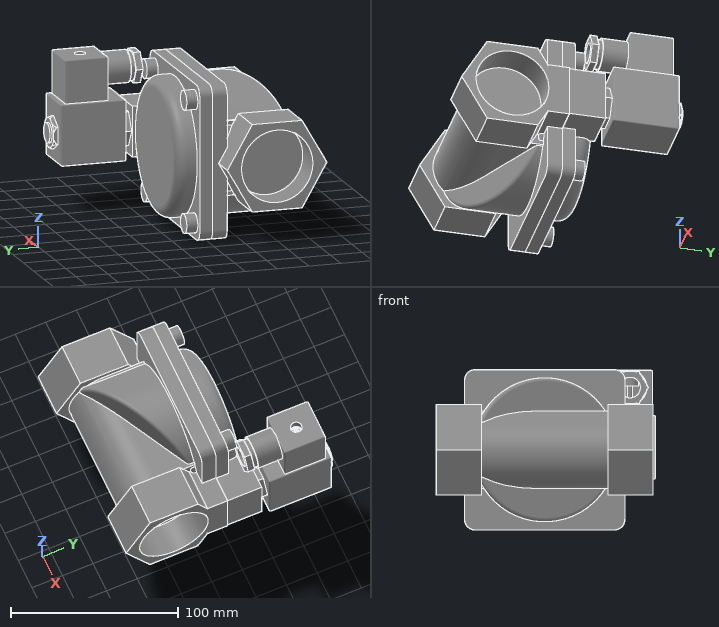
import cadquery as cq
import math


overall_length = 138.4

flange_bottom = 25.9
split_level = 35.1
flange_top = 43.2
boss_top = 50.1
dome_top = 55.8
pilot_top = 57.5

body_length = 129.8
hex_length = 27.0
hex_flats = 54.2
thread_diameter = 44.8
thread_depth = 19.4
pipe_radius = 23.1
flange_side = 96.0
flange_corner = 6.5
chamber_radius = 43.0
chamber_fillet = 2.1
chamber_slope = 27.5
chamber_floor = 3.0
chamber_depth = pipe_radius + flange_bottom
body_pad_width = 32.7
body_pad_bottom = 22.0
hex_face = body_length / 2 - hex_length

dome_radius = 43.0
dome_fillet = 6.8
boss_diameter = 12.0
boss_offset = 38.2
pilot_width = 31.5
pilot_length = 27.1

coil_x = 51.0
coil_bottom = 62.0
coil_top = 102.8
coil_width = 30.2
coil_low_z = -17.6
coil_high_z = 20.6
case_fillet = 1.0
stem_flats = 21.0
nut_flats = 18.0
nut_top = 105.7
nut_face_diameter = 16.7
nut_chamfer_angle = 30.0
cap_diameter = 12.3

plug_side = 27.0
plug_bottom = 72.6
plug_height = 27.0
plug_mid_y = plug_bottom + plug_side / 2
plug_top_z = coil_high_z + plug_height
gland_z = 37.2
gland_diameter = 20.0
gland_end = 57.0
neck_diameter = 18.0
neck_end = 54.2
gland_nut_flats = 19.0
gland_nut_end = 50.0
cable_hole_diameter = 12.3
cable_hole_end = 94.1

screw_hole_diameter = 6.8
screw_hole_depth = 5.5
screw_head_diameter = 5.5
screw_head_height = 2.1
screw_head_round = 1.7
cross_length = 3.3
cross_width = 0.8
cross_depth = 1.0
screw_post_diameter = 10.1
screw_post_low_z = 38.2
screw_shank_diameter = 3.0


def corner_diameter(flats):
    """Diameter over the corners of a hexagon with the given width across flats."""
    return flats / math.cos(math.pi / 6)


def box(x_range, y_range, z_range):
    """Box between two limits on each axis."""
    sizes = [high - low for low, high in (x_range, y_range, z_range)]
    low_corner = (x_range[0], y_range[0], z_range[0])
    return cq.Workplane(cq.Solid.makeBox(*sizes, cq.Vector(*low_corner)))


def cylinder_y(diameter, y_low, y_high, x=0.0, z=0.0):
    """Round bar parallel to Y."""
    return cq.Workplane("ZX", origin=(x, y_low, z)).circle(diameter / 2).extrude(y_high - y_low)


def cylinder_z(diameter, z_low, z_high, x, y):
    """Round bar parallel to Z."""
    return cq.Workplane("XY", origin=(x, y, z_low)).circle(diameter / 2).extrude(z_high - z_low)


def hexagon_y(flats, y_low, y_high, x, z, plane="XZ"):
    """Hexagonal bar parallel to Y, with corners on X (plane XZ) or on Z (plane ZX)."""
    length = y_high - y_low
    direction = -1 if plane == "XZ" else 1
    start = cq.Workplane(plane, origin=(x, y_low, z))
    return start.polygon(6, corner_diameter(flats)).extrude(direction * length)


def flange(y_low, y_high):
    """Square plate with rounded corners."""
    half = flange_side / 2
    return box((-half, half), (y_low, y_high), (-half, half)).edges("|Y").fillet(flange_corner)


def make_chamber():
    """Round diaphragm chamber whose underside is a sloping plane with a rounded rim."""
    chamber = cylinder_y(2 * chamber_radius, -chamber_depth, flange_bottom)
    reach = 2 * chamber_radius
    rise = reach * math.tan(math.radians(chamber_slope))
    below_slope = (
        cq.Workplane("XY", origin=(0, 0, -reach))
        .moveTo(-reach, chamber_floor - rise)
        .lineTo(reach, chamber_floor + rise)
        .lineTo(reach, -reach)
        .lineTo(-reach, -reach)
        .close()
        .extrude(2 * reach)
    )
    return chamber.cut(below_slope).faces("<Y").edges().fillet(chamber_fillet)


def make_pipe():
    """Round pipe between the end hexagons, with flat walls rising to the flange."""
    pipe = cq.Workplane("YZ", origin=(-hex_face, 0, 0)).circle(pipe_radius).extrude(2 * hex_face)
    walls = box((-hex_face, hex_face), (0, flange_bottom), (-pipe_radius, pipe_radius))
    return pipe.union(walls)


def make_end_hexagon(x_low):
    end = cq.Workplane("YZ", origin=(x_low, 0, 0))
    return end.polygon(6, corner_diameter(hex_flats)).extrude(hex_length)


def thread_bore(x_low):
    return cq.Workplane("YZ", origin=(x_low, 0, 0)).circle(thread_diameter / 2).extrude(thread_depth)


def make_body():
    body = make_chamber().union(make_pipe())
    body = body.union(flange(flange_bottom, split_level))
    half = body_length / 2
    for x_low in (-half, hex_face):
        body = body.union(make_end_hexagon(x_low))
    pad_half = body_pad_width / 2
    body = body.union(box((hex_face, half), (body_pad_bottom, split_level), (-pad_half, pad_half)))
    for x_low in (-half, half - thread_depth):
        body = body.cut(thread_bore(x_low))
    return body


def make_cover():
    cover = flange(split_level, flange_top)
    dome = cylinder_y(2 * dome_radius, flange_top, dome_top).faces(">Y").edges().fillet(dome_fillet)
    cover = cover.union(dome)
    for x in (-boss_offset, boss_offset):
        for z in (-boss_offset, boss_offset):
            cover = cover.union(cylinder_y(boss_diameter, flange_top, boss_top, x, z))
    x_range = (coil_x - pilot_length / 2, coil_x + pilot_length / 2)
    pilot_block = box(x_range, (split_level, pilot_top), (-pilot_width / 2, pilot_width / 2))
    return cover.union(pilot_block)


def make_coil():
    """Coil case on its hexagonal stem, held by a chamfered nut with a round cap."""
    x_range = (coil_x - coil_width / 2, coil_x + coil_width / 2)
    coil = box(x_range, (coil_bottom, coil_top), (coil_low_z, coil_high_z)).edges().fillet(case_fillet)
    stem = hexagon_y(stem_flats, pilot_top, coil_bottom, coil_x, 0)
    nut = hexagon_y(nut_flats, coil_top, nut_top, coil_x, 0, "ZX")
    nut_blank = cylinder_y(corner_diameter(nut_flats), coil_top, nut_top, coil_x, 0)
    chamfer_reach = (corner_diameter(nut_flats) - nut_face_diameter) / 2
    chamfer_drop = chamfer_reach * math.tan(math.radians(nut_chamfer_angle))
    nut = nut.intersect(nut_blank.faces(">Y").chamfer(chamfer_reach, chamfer_drop))
    cap = cylinder_y(cap_diameter, nut_top, cap_top, coil_x, 0)
    return coil.union(stem).union(nut).union(cap)


def make_plug():
    """Square plug on the coil, with its gland pointing to -Y."""
    x_range = (coil_x - plug_side / 2, coil_x + plug_side / 2)
    y_range = (plug_bottom, plug_bottom + plug_side)
    case = box(x_range, y_range, (coil_high_z, plug_top_z)).edges("|Z or >Z").fillet(case_fillet)
    barrel = cylinder_y(gland_diameter, gland_end, plug_mid_y, coil_x, gland_z)
    neck = cylinder_y(neck_diameter, neck_end, gland_end, coil_x, gland_z)
    gland_nut = hexagon_y(gland_nut_flats, gland_nut_end, neck_end, coil_x, gland_z)
    cable_hole = cylinder_y(cable_hole_diameter, gland_nut_end, cable_hole_end, coil_x, gland_z)
    return case.union(barrel).union(neck).union(gland_nut).cut(cable_hole)


def add_plug_screw(plug):
    """Stepped screw post across the cable hole, and a sunk screw head with a cross recess."""
    hole_floor = plug_top_z - screw_hole_depth
    head_top = hole_floor + screw_head_height
    post_top = gland_z + gland_diameter / 2
    post = cylinder_z(screw_post_diameter, screw_post_low_z, post_top, coil_x, plug_mid_y)
    shank_low_z = gland_z - cable_hole_diameter / 2
    shank = cylinder_z(screw_shank_diameter, shank_low_z, screw_post_low_z, coil_x, plug_mid_y)
    hole = cylinder_z(screw_hole_diameter, hole_floor, plug_top_z, coil_x, plug_mid_y)
    head = cylinder_z(screw_head_diameter, hole_floor, head_top, coil_x, plug_mid_y)
    head = head.faces(">Z").edges().fillet(screw_head_round)
    recess = cq.Workplane("XY", origin=(coil_x, plug_mid_y, head_top))
    for angle in (45, 135):
        slot = recess.transformed(rotate=(0, 0, angle)).rect(cross_length, cross_width)
        head = head.cut(slot.extrude(-cross_depth))
    return plug.union(post).union(shank).cut(hole).union(head)


def make_solenoid():
    return make_coil().union(add_plug_screw(make_plug()))


cap_top = overall_length - corner_diameter(hex_flats) / 2

body = make_body()
cover = make_cover()
solenoid = make_solenoid()

result = cq.Compound.makeCompound([body.val(), cover.val(), solenoid.val()])